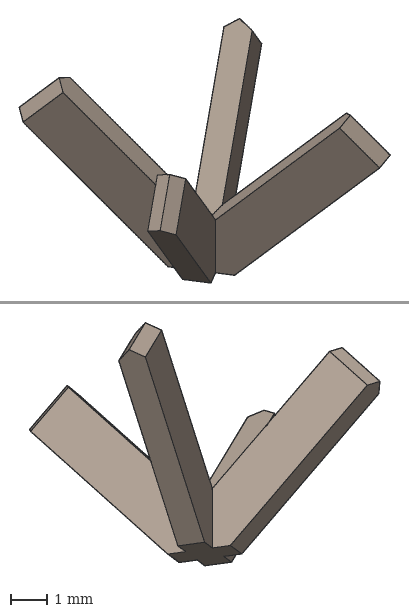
import cadquery as cq
import math

span = 7.69
height = 5.44
arm_width = 0.8
arm_depth = 1.6
foot_reach = 0.94
arm_slope = 45.0
arm_count = 4
first_arm_angle = 45.0

half_width = arm_width / 2
rise = math.sin(math.radians(arm_slope))
run = math.cos(math.radians(arm_slope))
shoulder_reach = span / math.sqrt(2) - half_width
shoulder_length = (shoulder_reach - foot_reach) / run
ridge_length = (height - arm_depth * run) / rise


def make_arm():
    """Sloping bar along +X with a ridged tip, a flat foot and a vertical inner end."""
    slope_plane = cq.Plane(
        origin=(foot_reach, 0, 0), xDir=(run, 0, rise), normal=(-rise, 0, run)
    )
    bar = (
        cq.Workplane(slope_plane)
        .moveTo(-span, -half_width)
        .lineTo(shoulder_length, -half_width)
        .lineTo(ridge_length, 0)
        .lineTo(shoulder_length, half_width)
        .lineTo(-span, half_width)
        .close()
        .extrude(arm_depth)
    )
    outer_region = cq.Workplane("XY").box(span, span, span, centered=(False, True, False))
    return bar.intersect(outer_region)


arm = make_arm()
result = cq.Workplane("XY")
for index in range(arm_count):
    angle = first_arm_angle + index * 360 / arm_count
    result = result.add(arm.rotate((0, 0, 0), (0, 0, 1), angle))
result = result.combine()